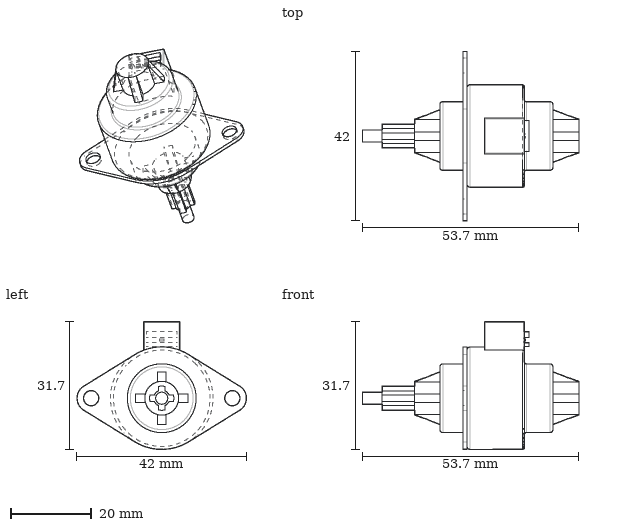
import cadquery as cq
import math

spline_start = 4.9
front_hub_start = 12.95
front_boss_start = 19.15
flange_start = 24.9
flange_thickness = 1.0
body_start = flange_start + flange_thickness
body_end = 40.1
rear_boss_end = 47.2
overall_length = 53.65

shaft_radius = 1.5
spline_core_radius = 2.0
spline_outer_radius = 3.0
hub_radius = 4.2
boss_radius = 8.55
body_radius = 12.7

boss_fillet = 0.75
body_front_fillet = 0.75
body_rear_fillet = 0.5
boss_root_fillet = 0.5

spline_width = 1.6
rib_width = 2.1
rib_root_radius = 6.55

flange_width = 42.0
ear_offset = 17.5
ear_radius = flange_width / 2 - ear_offset
ear_hole_diameter = 3.7

connector_length = 9.9
connector_width = 9.0
connector_top = 19.0
connector_edge_radius = 0.25
bar_projection = 1.2
bar_width = 7.6
upper_bar_bottom = 15.0
upper_bar_height = 1.45
lower_bar_bottom = 12.75
lower_bar_height = 1.0
nub_projection = 0.2
nub_width = 1.05
nub_bottom = 14.15
nub_height = 0.55


def cylinder(start, end, radius):
    """Solid cylinder on the motor axis between two X stations."""
    return cq.Workplane("YZ", origin=(start, 0, 0)).circle(radius).extrude(end - start)


def block(start, length, width, bottom, height):
    """Box centred on Y, given its X start and its lower Z face."""
    return cq.Workplane("XY", origin=(start, 0, bottom)).box(
        length, width, height, centered=(False, True, False)
    )


def cross(start, end, reach, width):
    """Two crossed bars along the motor axis, reaching equally along Y and Z."""
    plane = cq.Workplane("YZ", origin=(start, 0, 0))
    bar_along_y = plane.rect(2 * reach, width).extrude(end - start)
    bar_along_z = plane.rect(width, 2 * reach).extrude(end - start)
    return bar_along_y.union(bar_along_z)


def splined_shaft():
    """Plain shaft tip followed by a core with four splines."""
    splines = cross(spline_start, front_hub_start, spline_outer_radius, spline_width)
    splines = splines.intersect(cylinder(spline_start, front_hub_start, spline_outer_radius))
    core = cylinder(spline_start, front_hub_start, spline_core_radius)
    return cylinder(0, spline_start, shaft_radius).union(core).union(splines)


def hub_ribs(boss_face, hub_end):
    """Four ribs tapering from a boss face down to the hub surface at its end."""
    cone = (
        cq.Workplane("XY")
        .moveTo(boss_face, 0)
        .lineTo(boss_face, rib_root_radius)
        .lineTo(hub_end, hub_radius)
        .lineTo(hub_end, 0)
        .close()
        .revolve(360, (0, 0, 0), (1, 0, 0))
    )
    bars = cross(min(boss_face, hub_end), max(boss_face, hub_end), rib_root_radius, rib_width)
    return cone.intersect(bars)


def flange():
    """Diamond plate: central disc joined to two drilled ears by tangent lines."""
    lean = math.asin((body_radius - ear_radius) / ear_offset)
    tangent_y = math.sin(lean)
    tangent_z = math.cos(lean)
    disc_y, disc_z = body_radius * tangent_y, body_radius * tangent_z
    ear_y, ear_z = ear_offset + ear_radius * tangent_y, ear_radius * tangent_z
    plane = cq.Workplane("YZ", origin=(flange_start, 0, 0))
    plate = (
        plane.moveTo(-disc_y, disc_z)
        .threePointArc((0, body_radius), (disc_y, disc_z))
        .lineTo(ear_y, ear_z)
        .threePointArc((flange_width / 2, 0), (ear_y, -ear_z))
        .lineTo(disc_y, -disc_z)
        .threePointArc((0, -body_radius), (-disc_y, -disc_z))
        .lineTo(-ear_y, -ear_z)
        .threePointArc((-flange_width / 2, 0), (-ear_y, ear_z))
        .close()
        .extrude(flange_thickness)
    )
    holes = (
        plane.pushPoints([(-ear_offset, 0), (ear_offset, 0)])
        .circle(ear_hole_diameter / 2)
        .extrude(flange_thickness)
    )
    return plate.cut(holes)


def housing():
    """Body with a smaller boss at each end, and the hubs standing on the bosses."""
    body = cylinder(body_start, body_end, body_radius)
    body = body.faces("<X").edges().fillet(body_front_fillet)
    body = body.faces(">X").edges().fillet(body_rear_fillet)
    bosses = cylinder(front_boss_start, rear_boss_end, boss_radius).edges("%CIRCLE").fillet(boss_fillet)
    root_radius = boss_radius + boss_root_fillet
    root = (
        cq.Workplane("XY")
        .moveTo(body_end, 0)
        .lineTo(body_end, root_radius)
        .radiusArc((body_end + boss_root_fillet, boss_radius), -boss_root_fillet)
        .lineTo(body_end + boss_root_fillet, 0)
        .close()
        .revolve(360, (0, 0, 0), (1, 0, 0))
    )
    hubs = cylinder(front_hub_start, overall_length, hub_radius)
    return body.union(bosses).union(root).union(hubs)


def connector():
    """Box with softened edges, carrying two bars and a small nub on its rear face."""
    box = block(body_end - connector_length, connector_length, connector_width, 0, connector_top)
    box = box.edges("|Z or >Z").fillet(connector_edge_radius)
    upper_bar = block(body_end, bar_projection, bar_width, upper_bar_bottom, upper_bar_height)
    lower_bar = block(body_end, bar_projection, bar_width, lower_bar_bottom, lower_bar_height)
    nub = block(body_end, nub_projection, nub_width, nub_bottom, nub_height)
    return box.union(upper_bar).union(lower_bar).union(nub)


result = (
    splined_shaft()
    .union(housing())
    .union(flange())
    .union(hub_ribs(front_boss_start, front_hub_start))
    .union(hub_ribs(rear_boss_end, overall_length))
    .union(connector())
)